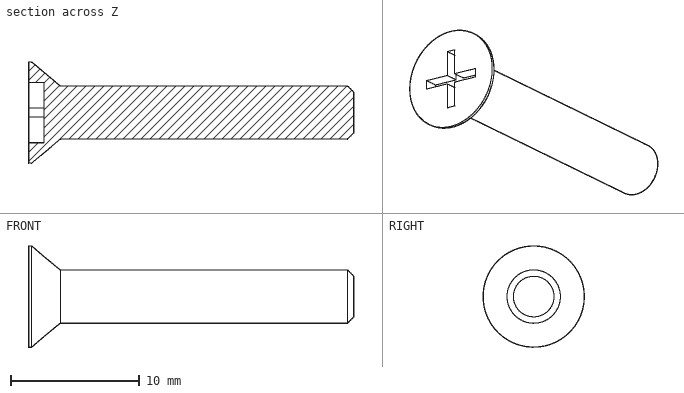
import cadquery as cq

total_length = 25.4
head_diameter = 7.92
shank_diameter = 4.17

head_rim_thickness = 0.25
head_height = 2.48

tip_chamfer = 0.5

recess_span = 4.67
recess_slot_width = 0.7
recess_depth = 1.2


def make_screw_body():
    """Revolve the half profile of head, shank and tip about the X axis."""
    head_radius = head_diameter / 2
    shank_radius = shank_diameter / 2
    profile = (
        cq.Workplane("XY")
        .moveTo(0, 0)
        .lineTo(0, head_radius)
        .lineTo(head_rim_thickness, head_radius)
        .lineTo(head_height, shank_radius)
        .lineTo(total_length - tip_chamfer, shank_radius)
        .lineTo(total_length, shank_radius - tip_chamfer)
        .lineTo(total_length, 0)
        .close()
    )
    return profile.revolve(360, (0, 0, 0), (1, 0, 0))


def make_cross_recess():
    """Two crossed straight slots, sunk from the head face."""
    slot_along_y = cq.Workplane("YZ").rect(recess_span, recess_slot_width).extrude(recess_depth)
    slot_along_z = cq.Workplane("YZ").rect(recess_slot_width, recess_span).extrude(recess_depth)
    return slot_along_y.union(slot_along_z)


result = make_screw_body().cut(make_cross_recess())